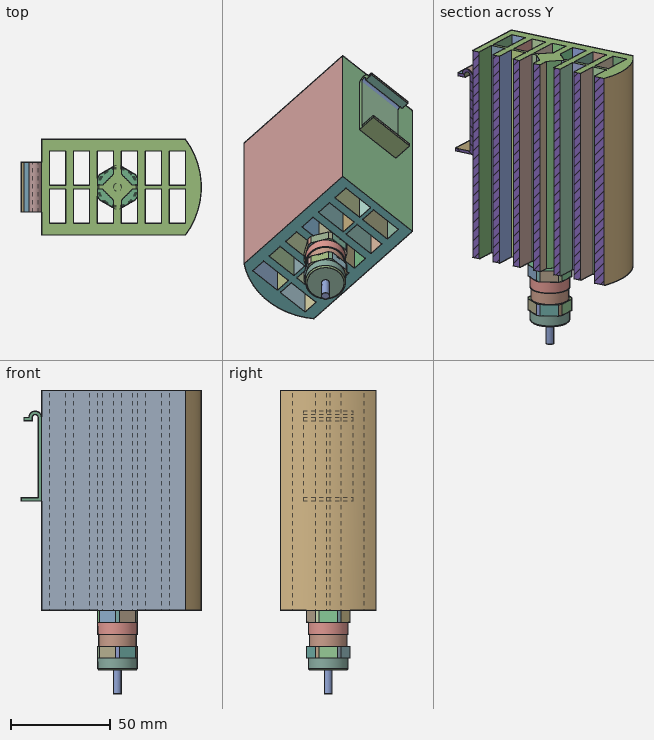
import cadquery as cq

housing_length = 80.0
housing_width = 48.0
housing_height = 110.0
straight_length = 72.0

shaft_columns = 6
shaft_length = 8.0
shaft_width = 17.0
shaft_pitch = 12.0
first_shaft_center = 8.0
middle_web = 2.0
core_side = 12.0
grid_center = first_shaft_center + shaft_pitch * (shaft_columns - 1) / 2

clip_width = 25.0
clip_thickness = 1.75
clip_reach = 10.16
clip_bottom = 54.6
loop_radius = 3.16
loop_center_height = 96.5
lip_length = 2.5

hex_across_flats = 20.0
hex_corner_diameter = 22.0
collar_diameter = 20.0
neck_diameter = 19.0
section_height = 6.0
end_chamfer = 0.8
cable_diameter = 4.0
cable_length = 11.88


def make_housing():
    half_width = housing_width / 2
    body = (
        cq.Workplane("XY")
        .moveTo(0, -half_width)
        .lineTo(straight_length, -half_width)
        .threePointArc((housing_length, 0), (straight_length, half_width))
        .lineTo(0, half_width)
        .close()
        .extrude(housing_height)
    )
    row_offset = (middle_web + shaft_width) / 2
    shaft_centers = [
        (first_shaft_center + column * shaft_pitch, side * row_offset)
        for column in range(shaft_columns)
        for side in (-1, 1)
    ]
    shafts = (
        cq.Workplane("XY")
        .pushPoints(shaft_centers)
        .rect(shaft_length, shaft_width)
        .extrude(housing_height)
    )
    core = (
        cq.Workplane("XY")
        .center(grid_center, 0)
        .transformed(rotate=(0, 0, 45))
        .rect(core_side, core_side)
        .extrude(housing_height)
    )
    return body.cut(shafts.cut(core))


def make_rail_clip():
    inner_radius = loop_radius - clip_thickness
    loop_outer_x = -2 * loop_radius
    loop_inner_x = loop_outer_x + clip_thickness
    lip_x = loop_outer_x - lip_length
    lip_bottom = loop_center_height - clip_thickness
    outer_top = loop_center_height + loop_radius
    inner_top = loop_center_height + inner_radius
    flange_top = clip_bottom + clip_thickness
    return (
        cq.Workplane("XZ")
        .moveTo(0, clip_bottom)
        .lineTo(0, loop_center_height)
        .threePointArc((-loop_radius, outer_top), (loop_outer_x, loop_center_height))
        .lineTo(lip_x, loop_center_height)
        .lineTo(lip_x, lip_bottom)
        .lineTo(loop_inner_x, lip_bottom)
        .lineTo(loop_inner_x, loop_center_height)
        .threePointArc((-loop_radius, inner_top), (-clip_thickness, loop_center_height))
        .lineTo(-clip_thickness, flange_top)
        .lineTo(-clip_reach, flange_top)
        .lineTo(-clip_reach, clip_bottom)
        .close()
        .extrude(clip_width / 2, both=True)
    )


def gland_cylinder(top, diameter, height):
    """Round section hanging down from the given height on the gland axis."""
    return (
        cq.Workplane("XY", origin=(grid_center, 0, top))
        .circle(diameter / 2)
        .extrude(-height)
    )


def gland_hexagon(top):
    """Hexagonal section with two flats facing along X and turned-down corners."""
    hexagon = (
        cq.Workplane("XY", origin=(grid_center, 0, top))
        .polygon(6, hex_across_flats, circumscribed=True)
        .extrude(-section_height)
    )
    return hexagon.intersect(gland_cylinder(top, hex_corner_diameter, section_height))


def make_cable_gland():
    upper_hexagon = gland_hexagon(0)
    collar = gland_cylinder(-section_height, collar_diameter, section_height)
    neck = gland_cylinder(-2 * section_height, neck_diameter, section_height)
    lower_hexagon = gland_hexagon(-3 * section_height)
    end_collar = gland_cylinder(-4 * section_height, collar_diameter, section_height)
    end_collar = end_collar.faces("<Z").chamfer(end_chamfer)
    cable = gland_cylinder(-5 * section_height, cable_diameter, cable_length)
    return upper_hexagon.union(collar).union(neck).union(lower_hexagon).union(end_collar).union(cable)


housing = make_housing()
rail_clip = make_rail_clip()
cable_gland = make_cable_gland()

result = cq.Compound.makeCompound([
    housing.solids().val(),
    rail_clip.solids().val(),
    cable_gland.solids().val(),
])